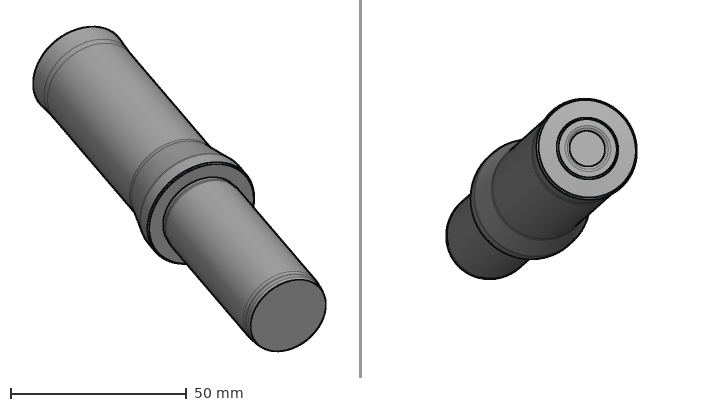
import cadquery as cq
import math

total_length = 136.0

grip_start_x = 0.3
grip_radius = 28.5 / 2
end_face_rim_x = 0.7
end_face_rim_radius = 14.1
flare_start_x = 1.4
flare_radius = 14.7
flare_end_x = 8.7
flare_blend_radius = 38.1
cone_start_x = 63.1
cone_end_x = 75.0
flange_radius = 34 / 2
flange_end_x = 80.1
flange_chamfer = 0.4
cone_foot_blend_radius = 5.5
cone_top_blend_radius = 1.9

stem_radius = 9.0
stem_chamfer_length = 0.3
stem_chamfer_depth = 0.5
body_radius = 25.0 / 2
relief_radius = 24.5 / 2
body_start_x = 82.3
body_end_x = 132.2
relief_slope_length = 1.1
relief_blend_radius = 1.4
tip_chamfer_length = 1.2
tip_chamfer_depth = 0.3

recess_mouth_radius = 6.7
recess_ledge_radius = 6.0
recess_mouth_depth = 0.1
recess_floor_radius = 5.2
recess_depth = 0.5


def revolve_about_x(profile):
    """Turn a closed sketch of (x, radius) about the X axis."""
    return profile.close().revolve(360, (0, 0, 0), (1, 0, 0))


def add_blended_corner(profile, before, corner, after, blend_radius):
    """Draw to the corner and round it with an arc tangent to the lines on both sides."""
    to_before = (cq.Vector(*before) - cq.Vector(*corner)).normalized()
    to_after = (cq.Vector(*after) - cq.Vector(*corner)).normalized()
    half_angle = to_before.getAngle(to_after) / 2
    tangent_length = blend_radius / math.tan(half_angle)
    middle_distance = blend_radius / math.sin(half_angle) - blend_radius
    bisector = (to_before + to_after).normalized()
    corner_point = cq.Vector(*corner)
    arc_start = corner_point + to_before * tangent_length
    arc_middle = corner_point + bisector * middle_distance
    arc_end = corner_point + to_after * tangent_length
    return (
        profile.lineTo(arc_start.x, arc_start.y)
        .threePointArc((arc_middle.x, arc_middle.y), (arc_end.x, arc_end.y))
    )


def make_grip():
    flare_start = (flare_start_x, flare_radius)
    flare_end = (flare_end_x, grip_radius)
    cone_foot = (cone_start_x, grip_radius)
    cone_top = (cone_end_x, flange_radius)
    flange_edge = (flange_end_x - flange_chamfer, flange_radius)
    profile = (
        cq.Workplane("XY")
        .moveTo(grip_start_x, stem_radius)
        .lineTo(end_face_rim_x, end_face_rim_radius)
        .lineTo(*flare_start)
    )
    profile = add_blended_corner(profile, flare_start, flare_end, cone_foot, flare_blend_radius)
    profile = add_blended_corner(profile, flare_end, cone_foot, cone_top, cone_foot_blend_radius)
    profile = add_blended_corner(profile, cone_foot, cone_top, flange_edge, cone_top_blend_radius)
    profile = (
        profile.lineTo(*flange_edge)
        .lineTo(flange_end_x, flange_radius - flange_chamfer)
        .lineTo(flange_end_x, stem_radius)
    )
    return revolve_about_x(profile)


def make_shaft():
    neck_start = (flange_end_x, relief_radius)
    neck_end = (body_start_x - relief_slope_length, relief_radius)
    body_start = (body_start_x, body_radius)
    body_end = (body_end_x, body_radius)
    tip_start = (body_end_x + relief_slope_length, relief_radius)
    tip_edge = (total_length - tip_chamfer_length, relief_radius)
    profile = (
        cq.Workplane("XY")
        .moveTo(recess_depth, 0)
        .lineTo(recess_depth, recess_floor_radius)
        .lineTo(recess_mouth_depth, recess_ledge_radius)
        .lineTo(0, recess_mouth_radius)
        .lineTo(0, stem_radius - stem_chamfer_depth)
        .lineTo(stem_chamfer_length, stem_radius)
        .lineTo(flange_end_x, stem_radius)
        .lineTo(*neck_start)
    )
    profile = add_blended_corner(profile, neck_start, neck_end, body_start, relief_blend_radius)
    profile = profile.lineTo(*body_start).lineTo(*body_end)
    profile = add_blended_corner(profile, body_end, tip_start, tip_edge, relief_blend_radius)
    profile = (
        profile.lineTo(*tip_edge)
        .lineTo(total_length, relief_radius - tip_chamfer_depth)
        .lineTo(total_length, 0)
    )
    return revolve_about_x(profile)


grip = make_grip()
shaft = make_shaft()
result = cq.Compound.makeCompound([grip.val(), shaft.val()])